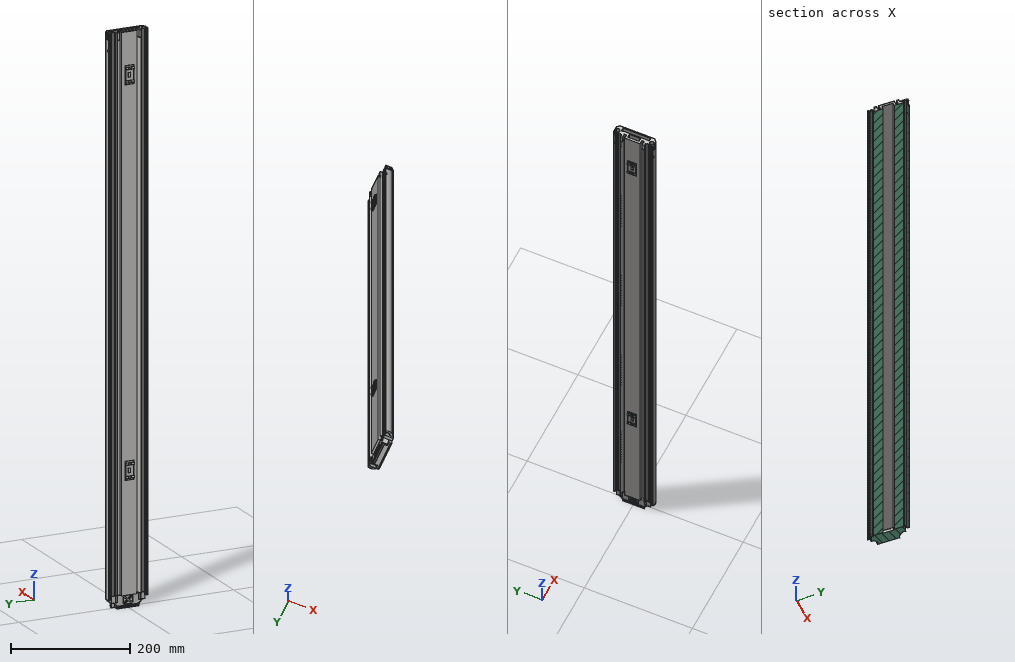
import cadquery as cq
import math

OVERALL_DEPTH = 29.0
OVERALL_WIDTH = 76.0
LENGTH = 1016.0
TOP_Z = LENGTH / 2
BOTTOM_Z = -LENGTH / 2
RAIL_BOTTOM_Z = -491.0
OVERLAP = 1.0

FRONT_X = -11.0
FIN_X = -7.0
BACK_X = 8.8
RAISED_HALF = 22.0
HALF_WIDTH = OVERALL_WIDTH / 2
NOSE_SAG = 1.3
NOSE_Y = HALF_WIDTH - NOSE_SAG
NOSE_BACK_X = 4.0
NOSE_MID_X = (FIN_X + NOSE_BACK_X) / 2
BACK_CHAMFER_Y = 4.6

BAND_HALF = 14.0
CHANNEL_FLOOR_X = -4.0
CHANNEL_SLOPE = 64.0
CHANNEL_TOE_Y = 18.0
CHANNEL_OUTER_Y = CHANNEL_TOE_Y + (CHANNEL_FLOOR_X - FRONT_X) / math.tan(math.radians(CHANNEL_SLOPE))
SLOPE_TOP_Z = 495.0

GROOVE_CENTRES_Y = (26.0, 33.0)
GROOVE_WIDTH = 3.0
GROOVE_DEPTH = 1.5
PORT_Y = 31.0
PORT_DIAMETER = 7.0
FRONT_CHAMBER = (-7.0, -1.0, 10.0)
BACK_CHAMBER = (1.0, 6.6, 25.0)

NOSE_TOP_Z = 497.0
SIDE_SLOT_XS = (-5.0, 1.0)
SIDE_SLOT_WIDTH = 2.0
SIDE_SLOT_BOTTOM_Z = 499.0
SIDE_SLOT_HEIGHT = 7.0
SIDE_SLOT_DEPTH = 1.0
CORNER_NOTCH_Z = 478.0
CORNER_NOTCH_HEIGHT = 3.0
CORNER_NOTCH_SIZE = 2.0

BRACKET_CENTRES_Z = (442.0, -9.0, -453.0)
BRACKET_HEIGHT = 17.0
BRACKET_BASE_X = 10.0
BRACKET_HEAD_X = OVERALL_DEPTH / 2
BRACKET_HALF = 11.0
BRACKET_HEAD_TOP_Y = 8.0
BRACKET_LIP_Y = (16.0, 20.0)
BRACKET_SLOT_HEIGHT = 4.0
BRACKET_SLOT_DROP = 3.0

PLUG_TOP_Z = -485.0
SHOULDER_HALF = 31.0
SHOULDER_BOTTOM_Z = -497.0
FOOT_HALF = 26.0
FOOT_CHAMFER = 6.0
FOOT_FRONT_BACK_X = 3.0
FOOT_EDGE_CHAMFER = 3.0
FOOT_SLOT_X = -4.0
FOOT_SLOT_WIDTH = 3.0
FOOT_SLOT_DEPTH = 3.0
PLUG_GROOVE_DEPTH = 1.5
PLUG_GROOVE_WIDTH = 3.0
PLUG_GROOVE_Y = 20.0
RECESS_HALF = 9.0
RECESS_TOP_Z = -487.0
RECESS_BOTTOM_Z = -502.0
CROSS_RIB_WIDTH = 2.5
FOOT_GROOVE_Z = -505.0
FOOT_GROOVE_HEIGHT = 3.0
FOOT_GROOVE_DEPTH = 0.8

CLIP_CENTRES_Z = (432.0, -265.0)
CLIP_HALF_WIDTH = 8.0
CLIP_HEIGHT = 34.0
CLIP_PLATE = 0.8
FRAME_X = -13.0
LUG_TOP_X = -OVERALL_DEPTH / 2
FRAME_INSET = 3.0
FRAME_RIM = 1.0
LUG_HEIGHT = 4.0
LUG_SPLIT = 4.0
CLIP_HOLE_WIDTH = 4.0
CLIP_HOLE_HEIGHT = 8.0


def box(x0, x1, y0, y1, z0, z1):
    """Block between two opposite corners."""
    return cq.Workplane("XY").box(x1 - x0, y1 - y0, z1 - z0, centered=False).translate((x0, y0, z0))


def both_sides(half):
    """A shape together with its mirror image across Y = 0."""
    return half.union(half.mirror("XZ"))


def rail_profile():
    """Solid extrusion with a raised middle, rounded side edges and bevelled back corners."""
    return (
        cq.Workplane("XY")
        .workplane(offset=RAIL_BOTTOM_Z)
        .moveTo(FRONT_X, -RAISED_HALF)
        .lineTo(FRONT_X, RAISED_HALF)
        .lineTo(FIN_X, RAISED_HALF)
        .lineTo(FIN_X, NOSE_Y)
        .threePointArc((NOSE_MID_X, HALF_WIDTH), (NOSE_BACK_X, NOSE_Y))
        .lineTo(BACK_X, NOSE_Y - BACK_CHAMFER_Y)
        .lineTo(BACK_X, BACK_CHAMFER_Y - NOSE_Y)
        .lineTo(NOSE_BACK_X, -NOSE_Y)
        .threePointArc((NOSE_MID_X, -HALF_WIDTH), (FIN_X, -NOSE_Y))
        .lineTo(FIN_X, -RAISED_HALF)
        .close()
        .extrude(TOP_Z - RAIL_BOTTOM_Z)
    )


def channel():
    """Groove beside the band, its outer wall sloping except near the top."""
    slot = box(FRONT_X, CHANNEL_FLOOR_X, BAND_HALF, CHANNEL_TOE_Y, RAIL_BOTTOM_Z, TOP_Z)
    slope = (
        cq.Workplane("XY")
        .workplane(offset=RAIL_BOTTOM_Z)
        .moveTo(FRONT_X, CHANNEL_TOE_Y)
        .lineTo(CHANNEL_FLOOR_X, CHANNEL_TOE_Y)
        .lineTo(FRONT_X, CHANNEL_OUTER_Y)
        .close()
        .extrude(SLOPE_TOP_Z - RAIL_BOTTOM_Z)
    )
    return slot.union(slope)


def fin_groove(centre_y):
    """Shallow groove along the full length of a fin."""
    half = GROOVE_WIDTH / 2
    return box(FIN_X, FIN_X + GROOVE_DEPTH, centre_y - half, centre_y + half, RAIL_BOTTOM_Z, TOP_Z)


def chamber(first_x, last_x, half_width):
    """Hollow running through the rail."""
    return box(first_x, last_x, -half_width, half_width, RAIL_BOTTOM_Z, TOP_Z)


def screw_port():
    """Round hollow running through the rail near its side edge."""
    return (
        cq.Workplane("XY")
        .workplane(offset=RAIL_BOTTOM_Z)
        .center(NOSE_MID_X, PORT_Y)
        .circle(PORT_DIAMETER / 2)
        .extrude(TOP_Z - RAIL_BOTTOM_Z)
    )


def side_edge_cuts():
    """Flat, slots and corner notch near the top of the rounded side edge."""
    cuts = box(FIN_X, BACK_X, NOSE_Y, HALF_WIDTH + OVERLAP, NOSE_TOP_Z, TOP_Z)
    for x in SIDE_SLOT_XS:
        half = SIDE_SLOT_WIDTH / 2
        slot_top = SIDE_SLOT_BOTTOM_Z + SIDE_SLOT_HEIGHT
        cuts = cuts.union(
            box(x - half, x + half, NOSE_Y - SIDE_SLOT_DEPTH, HALF_WIDTH, SIDE_SLOT_BOTTOM_Z, slot_top)
        )
    notch_bottom = CORNER_NOTCH_Z - CORNER_NOTCH_HEIGHT / 2
    notch = box(
        FIN_X, FIN_X + CORNER_NOTCH_SIZE,
        NOSE_Y - CORNER_NOTCH_SIZE, HALF_WIDTH,
        notch_bottom, notch_bottom + CORNER_NOTCH_HEIGHT,
    )
    return cuts.union(notch)


def bracket(centre_z):
    """Stepped mounting bracket with a slotted head and a separate small lip."""
    z0 = centre_z - BRACKET_HEIGHT / 2
    z1 = centre_z + BRACKET_HEIGHT / 2
    root_x = BACK_X - OVERLAP
    base = box(root_x, BRACKET_BASE_X, -BRACKET_HALF, BRACKET_HALF, z0, z1)
    head = box(root_x, BRACKET_HEAD_X, -BRACKET_HALF, BRACKET_HEAD_TOP_Y, z0, z1)
    lip = box(root_x, BRACKET_BASE_X, *BRACKET_LIP_Y, z0, z1)
    slot_z = centre_z - BRACKET_SLOT_DROP
    slot_half = BRACKET_SLOT_HEIGHT / 2
    slot = box(
        BRACKET_BASE_X, BRACKET_HEAD_X,
        -BRACKET_HALF, BRACKET_HALF,
        slot_z - slot_half, slot_z + slot_half,
    )
    return base.union(head).cut(slot).union(lip)


def make_rail():
    """Hollow rail with its brackets, open at the bottom for the end plug."""
    rail = rail_profile().cut(both_sides(channel()))
    for groove_y in GROOVE_CENTRES_Y:
        rail = rail.cut(both_sides(fin_groove(groove_y)))
    rail = rail.cut(chamber(*FRONT_CHAMBER)).cut(chamber(*BACK_CHAMBER))
    rail = rail.cut(both_sides(screw_port())).cut(both_sides(side_edge_cuts()))
    rail = rail.cut(
        box(FRONT_X, BACK_X, -SHOULDER_HALF, SHOULDER_HALF, RAIL_BOTTOM_Z, PLUG_TOP_Z)
    )
    for z in BRACKET_CENTRES_Z:
        rail = rail.union(bracket(z))
    return rail


def plug_foot():
    """Narrow lower part of the plug: bevelled in front, full width behind."""
    front_half_bottom = FOOT_HALF - FOOT_CHAMFER
    bevel_bottom_z = SHOULDER_BOTTOM_Z - FOOT_CHAMFER
    front = (
        cq.Workplane("YZ")
        .workplane(offset=FIN_X)
        .polyline(
            [
                (-FOOT_HALF, SHOULDER_BOTTOM_Z),
                (-front_half_bottom, bevel_bottom_z),
                (-front_half_bottom, BOTTOM_Z),
                (front_half_bottom, BOTTOM_Z),
                (front_half_bottom, bevel_bottom_z),
                (FOOT_HALF, SHOULDER_BOTTOM_Z),
            ]
        )
        .close()
        .extrude(FOOT_FRONT_BACK_X - FIN_X)
    )
    back = box(FOOT_FRONT_BACK_X, BACK_X, -FOOT_HALF, FOOT_HALF, BOTTOM_Z, SHOULDER_BOTTOM_Z)
    back = back.edges("|Y and >X and <Z").chamfer(FOOT_EDGE_CHAMFER)
    slot_half = FOOT_SLOT_WIDTH / 2
    slot = box(
        FOOT_SLOT_X - slot_half, FOOT_SLOT_X + slot_half,
        -FOOT_HALF, FOOT_HALF,
        BOTTOM_Z, BOTTOM_Z + FOOT_SLOT_DEPTH,
    )
    return front.union(back).cut(slot)


def cross_recess():
    """Shallow recess in the plug's front, crossed by two diagonal ribs."""
    floor_x = FIN_X + PLUG_GROOVE_DEPTH
    recess = box(FIN_X, floor_x, -RECESS_HALF, RECESS_HALF, RECESS_BOTTOM_Z, RECESS_TOP_Z)
    height = RECESS_TOP_Z - RECESS_BOTTOM_Z
    diagonal = math.hypot(2 * RECESS_HALF, height)
    tilt = math.degrees(math.atan2(height, 2 * RECESS_HALF))
    centre = ((FIN_X + floor_x) / 2, 0, (RECESS_TOP_Z + RECESS_BOTTOM_Z) / 2)
    for angle in (tilt, -tilt):
        rib = cq.Workplane("XY").box(PLUG_GROOVE_DEPTH, diagonal, CROSS_RIB_WIDTH)
        rib = rib.rotate((0, 0, 0), (1, 0, 0), angle).translate(centre)
        recess = recess.cut(rib)
    return recess


def make_plug():
    """End plug: wide shoulder in the rail's end, and a narrower foot below it."""
    plug = box(FIN_X, BACK_X, -SHOULDER_HALF, SHOULDER_HALF, SHOULDER_BOTTOM_Z, PLUG_TOP_Z)
    plug = plug.union(plug_foot()).cut(cross_recess())
    floor_x = FIN_X + PLUG_GROOVE_DEPTH
    groove_end_y = PLUG_GROOVE_Y + PLUG_GROOVE_WIDTH
    upright = box(FIN_X, floor_x, PLUG_GROOVE_Y, groove_end_y, SHOULDER_BOTTOM_Z, PLUG_TOP_Z)
    plug = plug.cut(both_sides(upright))
    half = FOOT_GROOVE_HEIGHT / 2
    foot_groove = box(
        FIN_X, FIN_X + FOOT_GROOVE_DEPTH,
        -FOOT_HALF, FOOT_HALF,
        FOOT_GROOVE_Z - half, FOOT_GROOVE_Z + half,
    )
    return plug.cut(foot_groove)


def clip_lug(bottom_z):
    """Bump with a rounded front across the clip, split in the middle."""
    lug = (
        cq.Workplane("XZ")
        .workplane(offset=-CLIP_HALF_WIDTH)
        .moveTo(FRAME_X, bottom_z)
        .threePointArc((LUG_TOP_X, bottom_z + LUG_HEIGHT / 2), (FRAME_X, bottom_z + LUG_HEIGHT))
        .close()
        .extrude(2 * CLIP_HALF_WIDTH)
    )
    split_half = LUG_SPLIT / 2
    return lug.cut(
        box(LUG_TOP_X, FRAME_X, -split_half, split_half, bottom_z, bottom_z + LUG_HEIGHT)
    )


def make_clip(centre_z):
    """Pierced plate carrying a rectangular frame with a rounded lug at each end."""
    z0 = centre_z - CLIP_HEIGHT / 2
    z1 = centre_z + CLIP_HEIGHT / 2
    plate_x = FRONT_X - CLIP_PLATE
    frame_z0 = z0 + FRAME_INSET
    frame_z1 = z1 - FRAME_INSET
    plate = box(plate_x, FRONT_X, -CLIP_HALF_WIDTH, CLIP_HALF_WIDTH, z0, z1)
    frame = box(FRAME_X, plate_x, -CLIP_HALF_WIDTH, CLIP_HALF_WIDTH, frame_z0, frame_z1)
    opening_half = CLIP_HALF_WIDTH - FRAME_RIM
    opening = box(
        FRAME_X, plate_x,
        -opening_half, opening_half,
        frame_z0 + LUG_HEIGHT, frame_z1 - LUG_HEIGHT,
    )
    hole_y = CLIP_HOLE_WIDTH / 2
    hole_z = CLIP_HOLE_HEIGHT / 2
    hole = box(plate_x, FRONT_X, -hole_y, hole_y, centre_z - hole_z, centre_z + hole_z)
    clip = plate.cut(hole).union(frame.cut(opening))
    return clip.union(clip_lug(frame_z0)).union(clip_lug(frame_z1 - LUG_HEIGHT))


rail = make_rail()
plug = make_plug()
clips = [make_clip(z).val() for z in CLIP_CENTRES_Z]

result = cq.Compound.makeCompound([rail.val(), plug.val(), *clips])